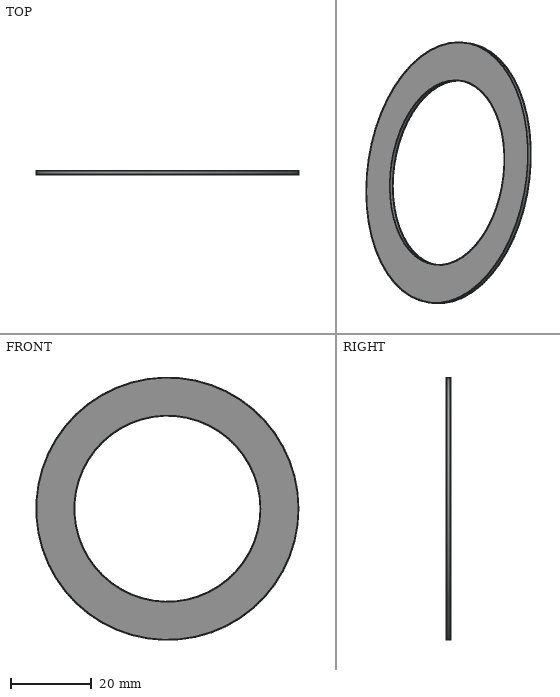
import cadquery as cq

outer_diameter = 65.0
inner_diameter = 46.0
thickness = 1.0


def make_ring():
    """Annular disc, extruded toward -Y from its rear face."""
    return (
        cq.Workplane("XZ", origin=(0, thickness / 2, 0))
        .circle(outer_diameter / 2)
        .circle(inner_diameter / 2)
        .extrude(thickness)
    )


result = make_ring()